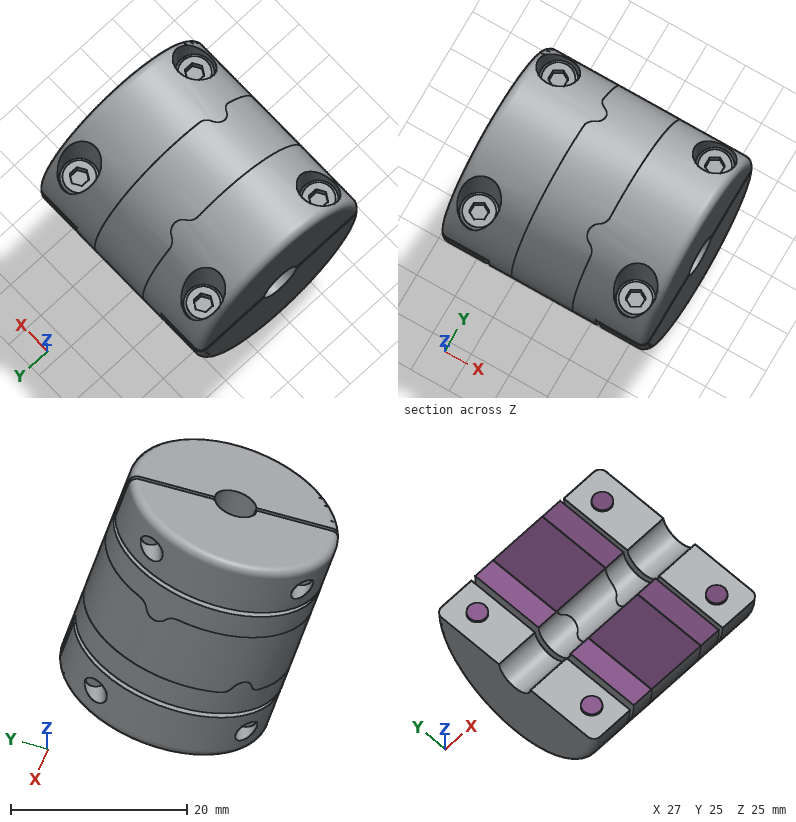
import cadquery as cq
import math

length = 27.0
outer_diameter = 25.0
bore_diameter = 5.0
rim_fillet = 1.0

element_width = 8.0

claw_diameter = 3.0
claw_root_fillet = 1.5
claw_angles = (-30.0, -150.0)

clamp_width = 5.9
drop_gap = 0.6
split_gap = 0.55

screw_inset = 3.25
screw_offset = 9.0
counterbore_diameter = 5.0
shank_diameter = 2.5
head_diameter = 4.5
head_height = 2.5
head_chamfer = 0.32
head_top = 4.6
socket_across_flats = 2.0
socket_depth = 1.25
screw_end = -6.0

outer_radius = outer_diameter / 2
joint = element_width / 2
hub_width = (length - element_width) / 2
seat = head_top - head_height
screw_x = -length / 2 + screw_inset


def axial_cylinder(diameter, start, width):
    return cq.Workplane("YZ", origin=(start, 0, 0)).circle(diameter / 2).extrude(width)


def upright_cylinder(diameter, y, bottom, top):
    return cq.Workplane("XY", origin=(screw_x, y, bottom)).circle(diameter / 2).extrude(top - bottom)


def make_claws():
    """Claws of the hub on the -X side, trimmed between the bore and the outside."""
    nose = claw_diameter / 2
    root = claw_root_fillet
    half_width = math.sqrt((nose + root) ** 2 - root**2)
    tangent_x = nose * root / (nose + root)
    tangent_y = nose * half_width / (nose + root)
    root_angle = math.atan2(half_width, root) / 2
    middle_x = root - root * math.cos(root_angle)
    middle_y = half_width - root * math.sin(root_angle)

    claw = (
        cq.Workplane("XY", origin=(-joint, 0, 0))
        .moveTo(0, -half_width)
        .threePointArc((middle_x, -middle_y), (tangent_x, -tangent_y))
        .threePointArc((nose, 0), (tangent_x, tangent_y))
        .threePointArc((middle_x, middle_y), (0, half_width))
        .close()
        .extrude(outer_radius)
    )
    claws = cq.Workplane("XY")
    for angle in claw_angles:
        claws = claws.add(claw.rotate((0, 0, 0), (1, 0, 0), angle))
    ring = axial_cylinder(outer_diameter, -joint, element_width)
    ring = ring.cut(axial_cylinder(bore_diameter, -joint, element_width))
    return claws.combine().intersect(ring)


def make_slit():
    """Level split through the axis, then a drop straight down to the outside."""
    split = cq.Workplane("XY").box(
        clamp_width + drop_gap, outer_diameter, split_gap, centered=(False, True, True)
    )
    drop = (
        cq.Workplane("XY", origin=(clamp_width, 0, -outer_radius))
        .box(drop_gap, outer_diameter, outer_radius, centered=(False, True, False))
    )
    return split.union(drop).translate((-length / 2, 0, 0))


def make_screw(y):
    """Socket head cap screw, which is one piece with its hub."""
    head = upright_cylinder(head_diameter, y, seat, head_top).faces(">Z").chamfer(head_chamfer)
    socket = (
        cq.Workplane("XY", origin=(screw_x, y, head_top))
        .transformed(rotate=(0, 0, 90))
        .polygon(6, socket_across_flats / math.cos(math.pi / 6))
        .extrude(-socket_depth)
    )
    return head.cut(socket).union(upright_cylinder(shank_diameter, y, screw_end, seat))


def make_hub():
    """Clamping hub on the -X side with its claws, slit and two screws."""
    hub = axial_cylinder(outer_diameter, -length / 2, hub_width).faces("<X").edges().fillet(rim_fillet)
    hub = hub.cut(axial_cylinder(bore_diameter, -length / 2, hub_width))
    hub = hub.union(make_claws()).cut(make_slit())
    for y in (-screw_offset, screw_offset):
        hub = hub.cut(upright_cylinder(counterbore_diameter, y, seat, outer_radius))
        hub = hub.cut(upright_cylinder(shank_diameter, y, -outer_radius, seat))
        hub = hub.union(make_screw(y))
    return hub


def half_turn(body):
    """Copy of a body turned about Z, which exchanges the -X and +X sides."""
    return body.rotate((0, 0, 0), (0, 0, 1), 180)


def make_element():
    """Flexible ring with a matching recess for every claw."""
    element = axial_cylinder(outer_diameter, -joint, element_width)
    element = element.cut(axial_cylinder(bore_diameter, -joint, element_width))
    claws = make_claws()
    return element.cut(claws).cut(half_turn(claws))


hubs = [make_hub()]
hubs.append(half_turn(hubs[0]))
element = make_element()

result = cq.Compound.makeCompound([hub.val() for hub in hubs] + [element.val()])